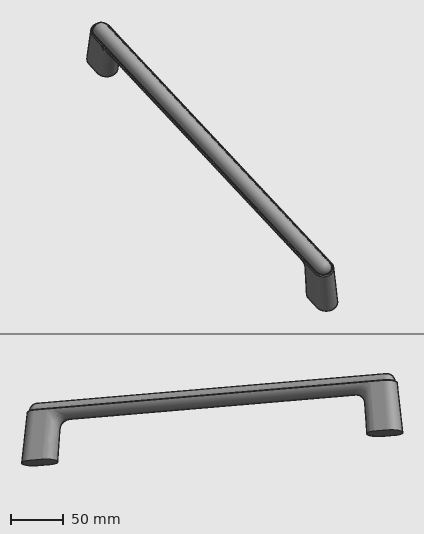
import cadquery as cq

overall_length = 380.0
overall_height = 58.0
foot_width = 22.0
leg_top_width = 20.0
leg_flat_length = 13.0
leg_lean = 4.6
leg_blend_radius = 10.0
bar_radius = 8.0
edge_chamfer = 1.0

seat_height = overall_height - bar_radius
rail_radius = leg_top_width / 2
foot_center = overall_length / 2 - foot_width / 2 - leg_flat_length / 2
leg_top_center = foot_center - leg_lean
bar_half_length = leg_top_center + leg_flat_length / 2


def half_round(half_length, radius, side):
    """Half cylinder along X on the seat plane, above it (side +1) or below it (side -1)."""
    return (
        cq.Workplane("YZ", origin=(-half_length, 0, seat_height))
        .moveTo(-radius, 0)
        .threePointArc((0, side * radius), (radius, 0))
        .close()
        .extrude(2 * half_length)
    )


def make_leg(side):
    """Tapered, inward leaning leg with a rounded-end section; side is -1 or +1 along X."""
    return (
        cq.Workplane("XY")
        .center(side * foot_center, 0)
        .slot2D(leg_flat_length + foot_width, foot_width)
        .workplane(offset=seat_height)
        .center(-side * leg_lean, 0)
        .slot2D(leg_flat_length + leg_top_width, leg_top_width)
        .loft(ruled=True)
    )


def make_frame():
    """Both legs and the half-round rail in one solid, blended inside and chamfered on top."""
    frame = half_round(leg_top_center, rail_radius, -1)
    for side in (-1, 1):
        frame = frame.union(make_leg(side))

    leg_to_rail_edges = cq.selectors.BoxSelector(
        (-foot_center, -foot_width, seat_height - rail_radius),
        (foot_center, foot_width, seat_height - edge_chamfer),
    )
    frame = frame.edges(leg_to_rail_edges).fillet(leg_blend_radius)
    return frame.faces(">Z").chamfer(edge_chamfer)


def make_bar():
    """Half-round bar with quarter-sphere ends, lying flat on the frame."""
    bar = half_round(bar_half_length, bar_radius, 1)
    for side in (-1, 1):
        dome = (
            cq.Workplane("XY", origin=(side * bar_half_length, 0, seat_height))
            .sphere(bar_radius, angle1=0)
        )
        bar = bar.union(dome)
    return bar


frame = make_frame()
bar = make_bar()
result = cq.Compound.makeCompound([frame.solids().val(), bar.solids().val()])